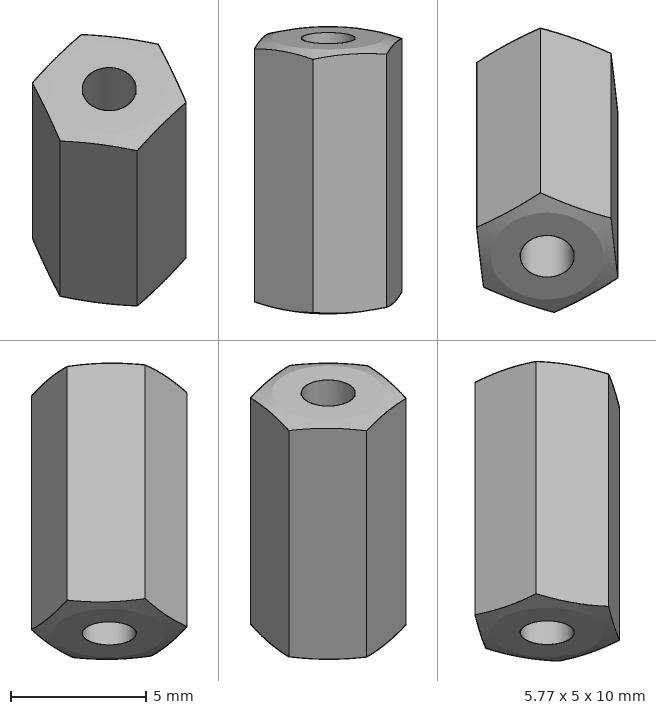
import cadquery as cq
import math

length = 10.0
across_flats = 5.0
bore_diameter = 2.0
end_face_diameter = 4.17
chamfer_angle = 15.0

across_corners = across_flats / math.cos(math.radians(30))
corner_radius = across_corners / 2
end_face_radius = end_face_diameter / 2
chamfer_height = (corner_radius - end_face_radius) * math.tan(math.radians(chamfer_angle))


def hexagonal_bar():
    """Hexagonal prism centred on Z, with corners on the X axis."""
    return cq.Workplane("XY").polygon(6, across_corners).extrude(length)


def chamfer_envelope():
    """Round body whose coned ends trim the corners of the bar."""
    return (
        cq.Workplane("XZ")
        .moveTo(0, 0)
        .lineTo(end_face_radius, 0)
        .lineTo(corner_radius, chamfer_height)
        .lineTo(corner_radius, length - chamfer_height)
        .lineTo(end_face_radius, length)
        .lineTo(0, length)
        .close()
        .revolve(360, (0, 0, 0), (0, 1, 0))
    )


def bore():
    """Cylinder that runs the full length of the bar."""
    return cq.Workplane("XY").circle(bore_diameter / 2).extrude(length)


result = hexagonal_bar().intersect(chamfer_envelope()).cut(bore())